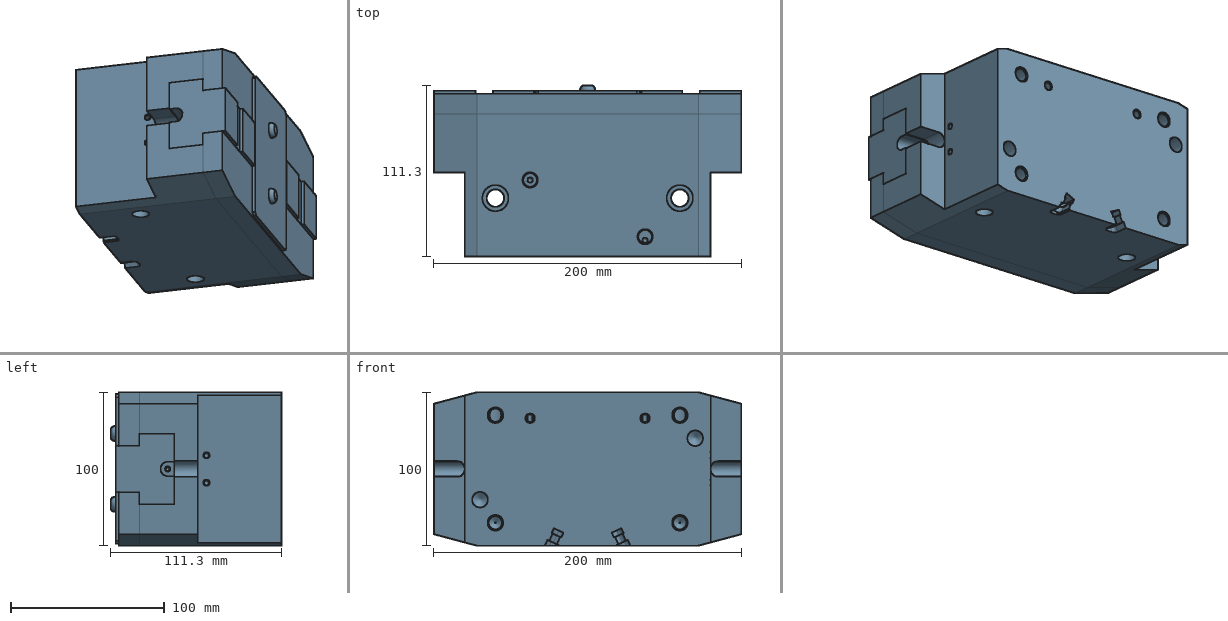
import cadquery as cq
import math

SIDES = (-1, 1)

length = 200.0
thickness = 100.0
housing_top = 106.0
flange_bottom = 54.5
cover_bottom = 92.8
foot_length = 160.0
flat_length = 144.0
end_slope = 15.0
half_length = length / 2
half_thickness = thickness / 2
foot_half_length = foot_length / 2
end_drop = (half_length - flat_length / 2) * math.tan(math.radians(end_slope))

plate_length = 68.0
plate_height = 97.6
plate_thickness = 2.0
plate_chamfer = 2.0
plate_top = housing_top + plate_thickness
screw_offset = 23.0
screw_head_radius = 5.0
screw_top_radius = 3.1
screw_head_height = 3.3
screw_bulge = 0.85

jaw_inner_end = 35.0
jaw_bottom = 70.0
jaw_head_width = 46.0
jaw_neck_width = 30.0
key_slot_width = 11.2
key_slot_center = 67.2
end_slot_radius = 4.65
end_slot_center = 74.15
jaw_thread_diameter = 2.5
jaw_thread_mouth = 3.5
jaw_thread_depth = 8.0

groove_radius = 5.2
groove_end = foot_half_length

drill_point_angle = 118.0
through_x = 60.0
through_y = 38.0
through_diameter = 11.2
counterbore_diameter = 17.0
counterbore_depth = 20.0

mount_z = 35.0
mount_diameter = 8.6
mount_mouth = 10.2
mount_depth = 30.0

dowel_x = 70.0
dowel_z = 20.0
dowel_diameter = 10.2
dowel_depth = 15.0

port_x = 37.4
left_port_y = 49.8
right_port_y = 12.9
right_passage_y = 10.6
port_diameter = 8.8
port_mouth = 10.0
port_depth = 10.0
passage_diameter = 3.4
passage_depth = 20.0
front_port_z = 33.0
front_port_diameter = 5.0
front_port_mouth = 6.2

side_hole_y = 48.9
side_hole_z = 8.9
side_hole_diameter = 3.3
side_hole_mouth = 4.1
side_hole_depth = 8.0

sensor_x = 23.5
sensor_tilt = 25.0
sensor_length = 11.0
sensor_depth = 11.0
sensor_head_width = 6.9
sensor_head_start = 7.6
sensor_neck_width = 5.4
sensor_mouth_width = 8.0
sensor_mouth_corner = 2.5
sensor_mouth_end = 2.4
sensor_round = 0.499


def end_mirror(shape, side):
    """Use a shape made for the +X end at either end."""
    return shape if side > 0 else shape.mirror("YZ")


def flat_bore(start, direction, diameter, depth, mouth=None):
    """Flat-bottomed bore cutter with an optional 45-degree countersunk mouth."""
    radius = diameter / 2
    start = cq.Vector(*start)
    direction = cq.Vector(*direction)
    bore = cq.Workplane(cq.Solid.makeCylinder(radius, depth, start, direction))
    if mouth:
        mouth_radius = mouth / 2
        countersink_depth = mouth_radius - radius
        bore = bore.union(cq.Workplane(
            cq.Solid.makeCone(mouth_radius, radius, countersink_depth, start, direction)))
    return bore


def drilled(start, direction, diameter, depth, mouth=None):
    """Bore cutter that ends in a conical drill point."""
    radius = diameter / 2
    point_length = radius / math.tan(math.radians(drill_point_angle / 2))
    point_start = cq.Vector(*start) + cq.Vector(*direction) * depth
    point = cq.Solid.makeCone(radius, 0, point_length, point_start, cq.Vector(*direction))
    return flat_bore(start, direction, diameter, depth, mouth).union(cq.Workplane(point))


def outline_block(y_start, y_end):
    """Octagonal outline with sloping ends, extruded along Y."""
    flat = flat_length / 2
    end_height = half_thickness - end_drop
    points = [(-half_length, -end_height), (-flat, -half_thickness),
              (flat, -half_thickness), (half_length, -end_height),
              (half_length, end_height), (flat, half_thickness),
              (-flat, half_thickness), (-half_length, end_height)]
    block = cq.Workplane("XZ", origin=(0, y_start, 0)).polyline(points).close()
    return block.extrude(y_start - y_end)


def jaw_profile(inner_end, outer_end):
    """T-shaped prism along +X: wide head below, narrow neck up to the jaw face."""
    head = jaw_head_width / 2
    neck = jaw_neck_width / 2
    points = [(jaw_bottom, -head), (cover_bottom, -head), (cover_bottom, -neck), (plate_top, -neck),
              (plate_top, neck), (cover_bottom, neck), (cover_bottom, head), (jaw_bottom, head)]
    profile = cq.Workplane("YZ", origin=(inner_end, 0, 0)).polyline(points).close()
    return profile.extrude(outer_end - inner_end)


def make_jaw(side):
    jaw = jaw_profile(jaw_inner_end, half_length)

    key_slot = cq.Workplane("XY").box(key_slot_width, plate_thickness, jaw_neck_width,
                                      centered=(True, False, True))
    jaw = jaw.cut(key_slot.translate((key_slot_center, housing_top, 0)))

    slot_depth = half_length - groove_end
    slot_plane = cq.Workplane("YZ", origin=(groove_end, 0, 0))
    slot = slot_plane.center(end_slot_center, 0).circle(end_slot_radius).extrude(slot_depth)
    slot_drop = end_slot_center - jaw_bottom
    slot_leg = slot_plane.center(end_slot_center - slot_drop / 2, 0).rect(slot_drop, 2 * end_slot_radius)
    thread = drilled((groove_end, end_slot_center, 0), (-1, 0, 0),
                     jaw_thread_diameter, jaw_thread_depth, jaw_thread_mouth)
    jaw = jaw.cut(slot).cut(slot_leg.extrude(slot_depth)).cut(thread)
    return end_mirror(jaw, side)


def flange_groove(side):
    """Round-ended groove through the flange, up to the underside of the jaw."""
    center_x = groove_end + groove_radius
    height = jaw_bottom - flange_bottom
    plane = cq.Workplane("XZ", origin=(0, flange_bottom, 0))
    run = half_length - center_x
    groove = plane.center(center_x, 0).circle(groove_radius).extrude(-height)
    straight = plane.center(center_x + run / 2, 0).rect(run, 2 * groove_radius).extrude(-height)
    return end_mirror(groove.union(straight), side)


def sensor_section(plane, start, end, width, corner_radius):
    """Deep slot across the tilted axis, open at the mounting face and round at its inner corners."""
    section = cq.Workplane(plane).workplane(offset=start).rect(width, 2 * sensor_depth)
    section = section.extrude(end - start)
    return section.edges(cq.selectors.ParallelDirSelector(plane.zDir)).fillet(corner_radius)


def sensor_opening(side):
    """Slot stepped along a tilted axis: wide head, narrow neck and rounded mouth in the lower face."""
    tilt = math.radians(sensor_tilt)
    axis = cq.Vector(-math.sin(tilt), 0, math.cos(tilt))
    plane = cq.Plane(origin=(sensor_x, 0, -half_thickness), xDir=(math.cos(tilt), 0, math.sin(tilt)),
                     normal=axis)
    mouth = sensor_section(plane, -sensor_mouth_width / 2, sensor_mouth_end,
                           sensor_mouth_width, sensor_mouth_corner)
    neck = sensor_section(plane, 0, sensor_head_start, sensor_neck_width, sensor_round * sensor_neck_width)
    head = sensor_section(plane, sensor_head_start, sensor_length,
                          sensor_head_width, sensor_round * sensor_head_width)
    return end_mirror(mouth.union(neck).union(head), side)


def through_hole(side):
    """Counterbored clearance hole along Z."""
    upper = cq.Workplane("XY", origin=(side * through_x, through_y, half_thickness))
    hole = upper.circle(through_diameter / 2).extrude(-thickness)
    return hole.union(upper.circle(counterbore_diameter / 2).extrude(-counterbore_depth))


def cut_air_port(body, side, port_y, passage_y):
    """Cut a threaded port in the upper face and the port from the mounting face that meets it."""
    x = side * port_x
    upper_port = flat_bore((x, port_y, half_thickness), (0, 0, -1), port_diameter, port_depth, port_mouth)
    passage = drilled((x, passage_y, half_thickness), (0, 0, -1), passage_diameter, passage_depth)
    front_depth = passage_y - passage_diameter / 4
    front_port = flat_bore((x, 0, front_port_z), (0, 1, 0),
                           front_port_diameter, front_depth, front_port_mouth)
    return body.cut(upper_port).cut(passage).cut(front_port)


def button_head(z):
    """Domed screw head standing on the centre plate."""
    bulge_radius = screw_top_radius + screw_bulge * (screw_head_radius - screw_top_radius)
    head = (cq.Workplane("XY").lineTo(screw_head_radius, 0)
            .threePointArc((bulge_radius, screw_head_height / 2), (screw_top_radius, screw_head_height))
            .lineTo(0, screw_head_height).close()
            .revolve(360, (0, 0, 0), (0, 1, 0)))
    return head.translate((0, plate_top, z))


def make_centre_plate():
    plate = cq.Workplane("XZ", origin=(0, housing_top, 0)).rect(plate_length, plate_height)
    plate = plate.extrude(-plate_thickness).edges("|Y").chamfer(plate_chamfer)
    for side in SIDES:
        plate = plate.union(button_head(side * screw_offset))
    return plate


def make_housing():
    base = outline_block(0, cover_bottom)
    cover = outline_block(cover_bottom, housing_top).union(make_centre_plate())

    for side in SIDES:
        step = cq.Workplane("XY").box(half_length - foot_half_length, flange_bottom, thickness,
                                      centered=(False, False, True))
        base = base.cut(end_mirror(step.translate((foot_half_length, 0, 0)), side))

        guide = end_mirror(jaw_profile(jaw_inner_end, half_length), side)
        base = base.cut(guide).cut(flange_groove(side))
        cover = cover.cut(guide)

        base = base.cut(through_hole(side)).cut(sensor_opening(side))

        for level in SIDES:
            base = base.cut(drilled((side * through_x, 0, level * mount_z), (0, 1, 0),
                                    mount_diameter, mount_depth, mount_mouth))
            base = base.cut(drilled((side * foot_half_length, side_hole_y, level * side_hole_z),
                                    (-side, 0, 0), side_hole_diameter, side_hole_depth, side_hole_mouth))
        base = base.cut(drilled((side * dowel_x, 0, side * dowel_z), (0, 1, 0), dowel_diameter, dowel_depth))

    base = cut_air_port(base, -1, left_port_y, left_port_y)
    base = cut_air_port(base, 1, right_port_y, right_passage_y)

    return base.union(cover, clean=False)


housing = make_housing()
jaws = [make_jaw(side) for side in SIDES]

result = cq.Compound.makeCompound([housing.val(), *[jaw.val() for jaw in jaws]])